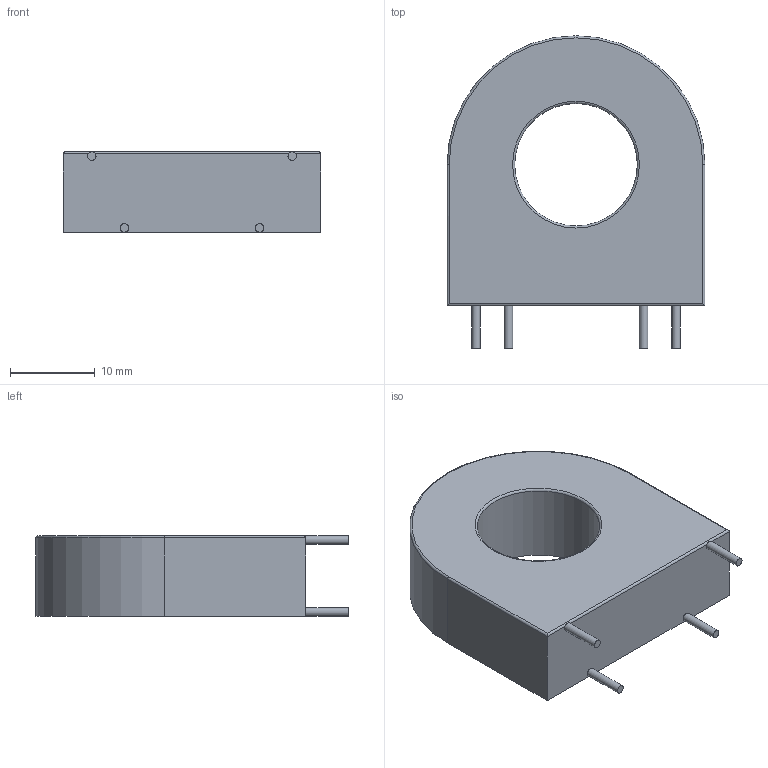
import cadquery as cq

body_width = 30.5
body_radius = body_width / 2
body_height = 9.5
flat_end_distance = 16.7
bore_diameter = 14.5
rim_fillet = 0.25

pin_diameter = 1.0
pin_length = 5.0
upper_pin_spacing = 23.7
lower_pin_spacing = 16.0
upper_pin_z = body_height - pin_diameter / 2
lower_pin_z = pin_diameter / 2


def make_housing():
    outline = (
        cq.Workplane("XY")
        .moveTo(-body_radius, -flat_end_distance)
        .lineTo(body_radius, -flat_end_distance)
        .lineTo(body_radius, 0)
        .threePointArc((0, body_radius), (-body_radius, 0))
        .close()
    )
    block = outline.extrude(body_height)
    bore = cq.Workplane("XY").circle(bore_diameter / 2).extrude(body_height)
    return block.cut(bore).faces(">Z").edges().fillet(rim_fillet)


def make_pin(x, z):
    return (
        cq.Workplane("XZ", origin=(x, -flat_end_distance, z))
        .circle(pin_diameter / 2)
        .extrude(pin_length)
    )


result = make_housing()
for spacing, z in ((upper_pin_spacing, upper_pin_z), (lower_pin_spacing, lower_pin_z)):
    for side in (-1, 1):
        result = result.union(make_pin(side * spacing / 2, z))